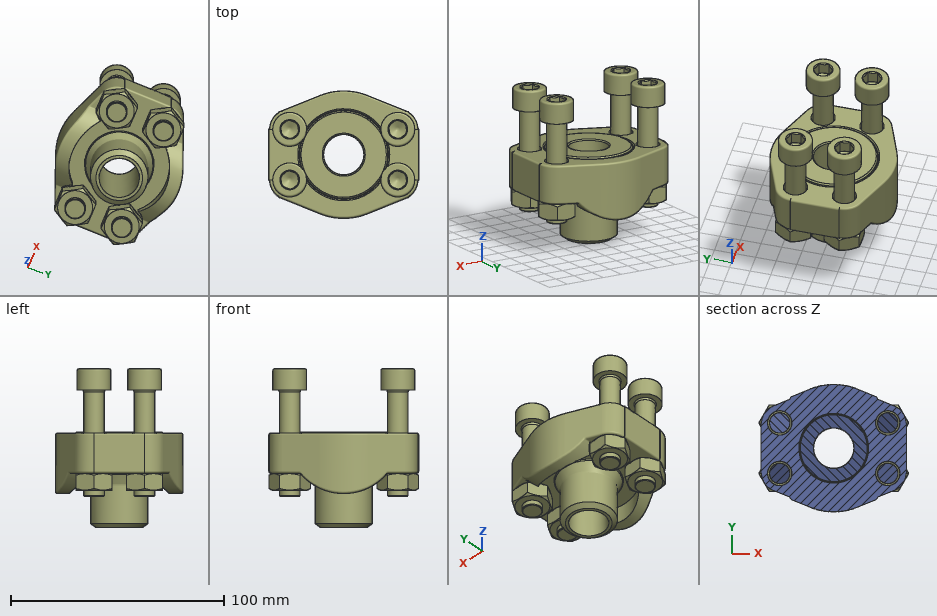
import cadquery as cq
import math


screw_top = 74.6
screw_end = 14.7
insert_top = 45.0
flange_top = 44.4
flange_bottom = 25.5
lobe_bottom = 16.0

bolt_x = 25.4
bolt_y = 11.85
bolt_places = [(side_x * bolt_x, side_y * bolt_y) for side_x in (-1, 1) for side_y in (-1, 1)]

flange_depth = 59.9
lobe_radius = flange_depth / 2
corner_radius = 9.5
side_half_width = 35.2
lobe_half_width = 20.45
edge_fillet = 1.0
bolt_hole_diameter = 11.3
seat_diameter = 42.0
seat_depth = 6.7
seat_chamfer = 0.6
flange_bore = 32.5
recess_diameter = 47.3
nut_seat_diameter = 19.7

insert_head_diameter = 41.3
insert_head_chamfer = 0.7
hub_diameter = 31.6
pipe_diameter = 26.9
hub_bottom = 25.0
cone_bottom = 20.0
cone_blend_radius = 1.35
weld_bevel_height = 1.9
weld_bevel_width = 2.5
bore_top_diameter = 19.0
bore_end_diameter = 18.9
bore_straight_depth = 4.4
bore_chamfer = 0.6

screw_head_diameter = 16.0
screw_head_height = 10.0
screw_head_fillet = 1.0
shank_diameter = 9.7
neck_diameter = 10.5
neck_height = 1.0
shank_end_chamfer = 0.4
socket_flats = 8.0
socket_depth = 6.0
socket_angle = 40
drill_diameter = 8.35
drill_tip_height = 2.4

nut_flats = 17.0
nut_height = 8.05
nut_face_diameter = 16.4
nut_chamfer_angle = 30


def hexagon_corner_diameter(flats):
    """Diameter of the circle through the corners of a hexagon."""
    return flats / math.cos(math.radians(30))


def cylinder(diameter, bottom, top, places=((0, 0),)):
    """Upright cylinders between two heights at the given XY places."""
    return (
        cq.Workplane("XY", origin=(0, 0, bottom))
        .pushPoints(places)
        .circle(diameter / 2)
        .extrude(top - bottom)
    )


def revolve_about_z(outline):
    """Turn a closed (radius, height) outline about the Z axis."""
    return outline.revolve(360, (0, 0), (0, 1))


def flange_plan():
    """Lobe arcs and corner arcs about the bolt axes, joined by flanks tangent to both."""
    bolt_distance = math.hypot(bolt_x, bolt_y)
    flank_angle = math.atan2(bolt_y, bolt_x) + math.acos((lobe_radius - corner_radius) / bolt_distance)
    lobe_x = lobe_radius * math.cos(flank_angle)
    lobe_y = lobe_radius * math.sin(flank_angle)
    flank_x = bolt_x + corner_radius * math.cos(flank_angle)
    flank_y = bolt_y + corner_radius * math.sin(flank_angle)
    mid_x = bolt_x + corner_radius * math.cos(flank_angle / 2)
    mid_y = bolt_y + corner_radius * math.sin(flank_angle / 2)
    end_x = bolt_x + corner_radius
    return (
        cq.Workplane("XY", origin=(0, 0, lobe_bottom))
        .moveTo(end_x, -bolt_y)
        .lineTo(end_x, bolt_y)
        .threePointArc((mid_x, mid_y), (flank_x, flank_y))
        .lineTo(lobe_x, lobe_y)
        .threePointArc((0, lobe_radius), (-lobe_x, lobe_y))
        .lineTo(-flank_x, flank_y)
        .threePointArc((-mid_x, mid_y), (-end_x, bolt_y))
        .lineTo(-end_x, -bolt_y)
        .threePointArc((-mid_x, -mid_y), (-flank_x, -flank_y))
        .lineTo(-lobe_x, -lobe_y)
        .threePointArc((0, -lobe_radius), (lobe_x, -lobe_y))
        .lineTo(flank_x, -flank_y)
        .threePointArc((mid_x, -mid_y), (end_x, -bolt_y))
        .close()
    )


def flange_elevation():
    """Outline in XZ: flat under the bolts, with a round belly under the lobes."""
    return (
        cq.Workplane("XZ")
        .moveTo(-side_half_width, flange_bottom)
        .lineTo(-lobe_half_width, flange_bottom)
        .threePointArc((0, lobe_bottom), (lobe_half_width, flange_bottom))
        .lineTo(side_half_width, flange_bottom)
        .lineTo(side_half_width, flange_top)
        .lineTo(-side_half_width, flange_top)
        .close()
    )


def rounded_lobed_block():
    """The lobed block with its top and bottom outlines rounded."""
    block = flange_plan().extrude(flange_top - lobe_bottom)
    block = block.intersect(flange_elevation().extrude(lobe_radius, both=True))
    block = block.faces(">Z").edges().fillet(edge_fillet)
    margin = 0.1
    underside = cq.selectors.BoxSelector(
        (-side_half_width, -lobe_radius - margin, lobe_bottom - margin),
        (side_half_width, lobe_radius + margin, flange_bottom + margin),
    )
    return block.edges(underside).fillet(edge_fillet)


def side_pads():
    """Bar across the flange whose ends stand slightly proud between the corner arcs."""
    return (
        cq.Workplane("XY", origin=(0, 0, flange_bottom))
        .box(2 * side_half_width, 2 * bolt_y, flange_top - flange_bottom, centered=(True, True, False))
        .edges("|Y")
        .fillet(edge_fillet)
    )


def insert_seat():
    """Counterbore for the insert head, with a chamfered rim."""
    seat_radius = seat_diameter / 2
    seat_z = flange_top - seat_depth
    return revolve_about_z(
        cq.Workplane("XZ")
        .moveTo(0, seat_z)
        .lineTo(seat_radius, seat_z)
        .lineTo(seat_radius, flange_top - seat_chamfer)
        .lineTo(seat_radius + seat_chamfer, flange_top)
        .lineTo(0, flange_top)
        .close()
    )


def make_flange():
    body = rounded_lobed_block().union(side_pads())
    underside_recess = cylinder(recess_diameter, 0, flange_bottom)
    nut_seats = cylinder(nut_seat_diameter, 0, flange_bottom, bolt_places)
    bore = cylinder(flange_bore, 0, flange_top)
    bolt_holes = cylinder(bolt_hole_diameter, 0, flange_top, bolt_places)
    return body.cut(underside_recess).cut(nut_seats).cut(bore).cut(insert_seat()).cut(bolt_holes)


def make_insert():
    head_radius = insert_head_diameter / 2
    hub_radius = hub_diameter / 2
    pipe_radius = pipe_diameter / 2
    bore_top_radius = bore_top_diameter / 2
    bore_end_radius = bore_end_diameter / 2
    seat_z = flange_top - seat_depth
    body = revolve_about_z(
        cq.Workplane("XZ")
        .moveTo(bore_end_radius, 0)
        .lineTo(pipe_radius - weld_bevel_width, 0)
        .lineTo(pipe_radius, weld_bevel_height)
        .lineTo(pipe_radius, cone_bottom)
        .lineTo(hub_radius, hub_bottom)
        .lineTo(hub_radius, seat_z)
        .lineTo(head_radius, seat_z)
        .lineTo(head_radius, insert_top - insert_head_chamfer)
        .lineTo(head_radius - insert_head_chamfer, insert_top)
        .lineTo(bore_top_radius + bore_chamfer, insert_top)
        .lineTo(bore_top_radius, insert_top - bore_chamfer)
        .lineTo(bore_top_radius, insert_top - bore_straight_depth)
        .close()
    )
    margin = 0.1
    cone_foot = cq.selectors.BoxSelector(
        (-pipe_radius - margin, -pipe_radius - margin, cone_bottom - margin),
        (pipe_radius + margin, pipe_radius + margin, cone_bottom + margin),
    )
    return body.edges(cone_foot).fillet(cone_blend_radius)


def screw_socket():
    """Hexagon socket with a countersunk mouth and a drill point at its floor."""
    floor_z = screw_top - socket_depth
    corner_diameter = hexagon_corner_diameter(socket_flats)
    flats_radius = socket_flats / 2
    mouth_depth = corner_diameter / 2 - flats_radius
    hexagon = (
        cq.Workplane("XY", origin=(0, 0, floor_z))
        .polygon(6, corner_diameter)
        .extrude(socket_depth)
        .rotate((0, 0, 0), (0, 0, 1), socket_angle)
    )
    mouth = cq.Solid.makeCone(
        flats_radius, corner_diameter / 2, mouth_depth, cq.Vector(0, 0, screw_top - mouth_depth)
    )
    drill_point = cq.Solid.makeCone(
        0, drill_diameter / 2, drill_tip_height, cq.Vector(0, 0, floor_z - drill_tip_height)
    )
    return hexagon.union(cq.Workplane(mouth)).union(cq.Workplane(drill_point))


def make_screw(x, y):
    head_z = screw_top - screw_head_height
    shank_radius = shank_diameter / 2
    head = cylinder(screw_head_diameter, head_z, screw_top).faces(">Z").edges().fillet(screw_head_fillet)
    shank = revolve_about_z(
        cq.Workplane("XZ")
        .moveTo(0, screw_end)
        .lineTo(shank_radius - shank_end_chamfer, screw_end)
        .lineTo(shank_radius, screw_end + shank_end_chamfer)
        .lineTo(shank_radius, head_z - neck_height)
        .lineTo(neck_diameter / 2, head_z)
        .lineTo(0, head_z)
        .close()
    )
    return head.union(shank).cut(screw_socket()).translate((x, y, 0))


def make_nut(x, y):
    nut_bottom = flange_bottom - nut_height
    corner_diameter = hexagon_corner_diameter(nut_flats)
    nut_corner_radius = corner_diameter / 2
    face_radius = nut_face_diameter / 2
    chamfer_drop = (nut_corner_radius - face_radius) * math.tan(math.radians(nut_chamfer_angle))
    hexagon = cq.Workplane("XY", origin=(0, 0, nut_bottom)).polygon(6, corner_diameter).extrude(nut_height)
    chamfered_disc = revolve_about_z(
        cq.Workplane("XZ")
        .moveTo(0, nut_bottom)
        .lineTo(face_radius, nut_bottom)
        .lineTo(nut_corner_radius, nut_bottom + chamfer_drop)
        .lineTo(nut_corner_radius, flange_bottom - chamfer_drop)
        .lineTo(face_radius, flange_bottom)
        .lineTo(0, flange_bottom)
        .close()
    )
    thread_hole = cylinder(shank_diameter, nut_bottom, flange_bottom)
    return hexagon.intersect(chamfered_disc).cut(thread_hole).translate((x, y, 0))


flange = make_flange()
insert = make_insert()
screws = [make_screw(x, y).val() for x, y in bolt_places]
nuts = [make_nut(x, y).val() for x, y in bolt_places]

result = cq.Compound.makeCompound([flange.val(), insert.val(), *screws, *nuts])